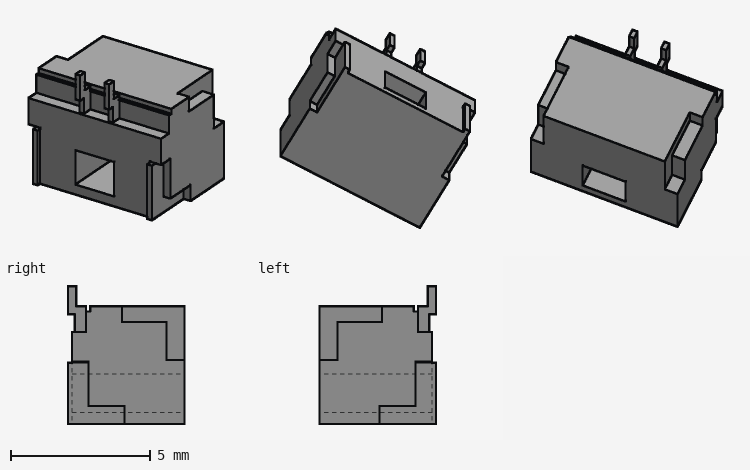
import cadquery as cq

width = 5.75
depth = 4.2
height = 4.95
body_top = 4.24
sheet = 0.2
pocket_depth = 0.5

face_y = 0.15
shelf_y = 0.655
shelf_z = 3.31
lip_y = 0.805
lip_z = 4.04

rear_pocket_front = 1.955
rear_pocket_arm_back = 3.535
rear_pocket_arm_bottom = 3.655
rear_pocket_bottom = 2.295

front_pocket_top = 2.255
plate_top = 2.2
front_arm_back = 0.74
foot_back = 2.04
foot_top = 0.65

window_width = 1.68
window_bottom = 0.41
window_top = 1.795

pin_spacing = 1.255
pin_lower_front = 0.24
pin_upper_back = 0.305
pin_step_z = 3.935


def extrude_profile(points, x_start, length):
    """Extrude a closed (Y, Z) outline along +X."""
    return cq.Workplane("YZ", origin=(x_start, 0, 0)).polyline(points).close().extrude(length)


def front_l_profile(top):
    """L outline: an upright arm at the front with a foot running back."""
    return [
        (0, 0),
        (foot_back, 0),
        (foot_back, foot_top),
        (front_arm_back, foot_top),
        (front_arm_back, top),
        (0, top),
    ]


body_profile = [
    (face_y, 0),
    (depth, 0),
    (depth, body_top),
    (lip_y, body_top),
    (lip_y, lip_z),
    (shelf_y, lip_z),
    (shelf_y, shelf_z),
    (face_y, shelf_z),
]

rear_pocket_profile = [
    (rear_pocket_front, body_top),
    (depth, body_top),
    (depth, rear_pocket_bottom),
    (rear_pocket_arm_back, rear_pocket_bottom),
    (rear_pocket_arm_back, rear_pocket_arm_bottom),
    (rear_pocket_front, rear_pocket_arm_bottom),
]

pin_profile = [
    (pin_lower_front, shelf_z),
    (shelf_y, shelf_z),
    (shelf_y, body_top),
    (pin_upper_back, body_top),
    (pin_upper_back, height),
    (0, height),
    (0, pin_step_z),
    (pin_lower_front, pin_step_z),
]

result = extrude_profile(body_profile, -width / 2, width)

window = cq.Workplane("XY").box(
    window_width, depth, window_top - window_bottom, centered=(True, False, False)
)
result = result.cut(window.translate((0, 0, window_bottom)))

for side in (-1, 1):
    pocket_start = side * (width - pocket_depth) / 2 - pocket_depth / 2
    plate_start = side * (width / 2 - pocket_depth + sheet / 2) - sheet / 2
    result = result.cut(extrude_profile(rear_pocket_profile, pocket_start, pocket_depth))
    result = result.cut(extrude_profile(front_l_profile(front_pocket_top), pocket_start, pocket_depth))
    result = result.union(extrude_profile(front_l_profile(plate_top), plate_start, sheet))

for side in (-1, 1):
    pin_start = side * pin_spacing / 2 - sheet / 2
    result = result.union(extrude_profile(pin_profile, pin_start, sheet))